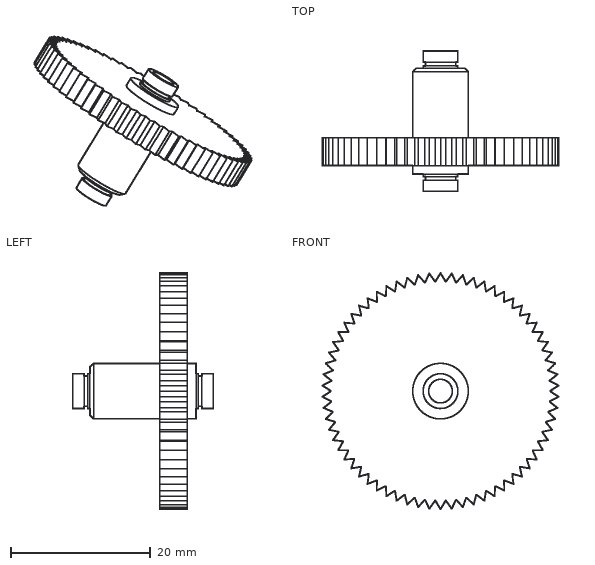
import cadquery as cq
import math


tooth_count = 66
tip_radius = 17.0
tooth_depth = 1.25
root_radius = tip_radius - tooth_depth
gear_width = 4.0

hub_diameter = 8.0
hub_front_length = 1.22
hub_rear_length = 10.0
hub_rear_chamfer = 0.5

journal_diameter = 5.0
journal_length = 2.48
groove_diameter = 4.4
groove_width = 0.5
groove_to_hub = 0.35

bore_diameter = 3.4
bore_depth = 3.0

hub_front_y = -hub_front_length
hub_rear_y = gear_width + hub_rear_length
front_end_y = hub_front_y - journal_length


def cylinder(diameter, start_y, length):
    """Cylinder around the Y axis, running from start_y toward +Y."""
    plane = cq.Plane(origin=(0, start_y, 0), xDir=(1, 0, 0), normal=(0, 1, 0))
    return cq.Workplane(plane).circle(diameter / 2).extrude(length)


def polar_point(radius, angle):
    """Point at an angle measured from the vertical, so a tooth tip points along +Z."""
    return (radius * math.sin(angle), radius * math.cos(angle))


def make_gear():
    """Disc with straight, pointed teeth."""
    pitch_angle = 2 * math.pi / tooth_count
    outline = []
    for tooth in range(tooth_count):
        tip_angle = tooth * pitch_angle
        outline.append(polar_point(tip_radius, tip_angle))
        outline.append(polar_point(root_radius, tip_angle + pitch_angle / 2))
    return cq.Workplane("XZ").polyline(outline).close().extrude(-gear_width)


def make_hub():
    """Hub with a chamfer on its rear rim only."""
    hub = cylinder(hub_diameter, hub_front_y, hub_rear_y - hub_front_y)
    return hub.faces(">Y").chamfer(hub_rear_chamfer)


def make_journal(hub_face_y, direction):
    """Journal growing from a hub face toward +Y (direction 1) or -Y (direction -1)."""
    journal = cylinder(journal_diameter, hub_face_y, direction * journal_length)
    groove_y = hub_face_y + direction * groove_to_hub
    ring = cylinder(journal_diameter, groove_y, direction * groove_width)
    core = cylinder(groove_diameter, groove_y, direction * groove_width)
    return journal.cut(ring.cut(core))


body = make_gear().union(make_hub())
body = body.union(make_journal(hub_front_y, -1))
body = body.union(make_journal(hub_rear_y, 1))

result = body.cut(cylinder(bore_diameter, front_end_y, bore_depth))